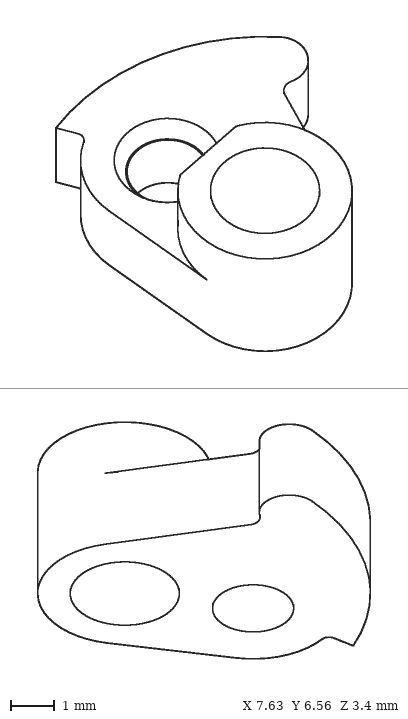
import cadquery as cq
import math

overall_length = 7.63
hub_radius = 2.0
bore_radius = 1.25
plate_height = 2.0
total_height = 3.4
boss_flat_x = -1.755

pivot_x = -3.0
pivot_radius = 0.93
cone_top_radius = 1.23
cone_bottom_radius = 0.96
cone_depth = 0.42

rim_radius = overall_length - hub_radius
nose_radius = 0.69
nose_center_angle = 128.4
edge_slope = 24.3
notch_slope = 23.5
rim_end_angle = 190.3
nose_fillet_radius = 0.3
notch_fillet_radius = 0.2


def polar(radius, angle, center=(0, 0)):
    """Point at a radius and an angle in degrees around a center."""
    a = math.radians(angle)
    return (center[0] + radius * math.cos(a), center[1] + radius * math.sin(a))


def first_hit(start, angle, center, radius):
    """First point where a ray from start at an angle meets a circle."""
    dx, dy = polar(1, angle)
    to_center = (center[0] - start[0], center[1] - start[1])
    along = to_center[0] * dx + to_center[1] * dy
    across = to_center[0] * dy - to_center[1] * dx
    return polar(along - math.sqrt(radius**2 - across**2), angle, start)


def angle_around(center, point):
    """Angle of a point around a center, from 0 to 360 degrees."""
    return math.degrees(math.atan2(point[1] - center[1], point[0] - center[0])) % 360


def make_plate():
    pivot = (pivot_x, 0)
    nose = polar(rim_radius - nose_radius, nose_center_angle)
    nose_start = polar(rim_radius, nose_center_angle)

    tangent_angle = 90 - edge_slope
    edge_start = polar(hub_radius, tangent_angle)
    edge_end = first_hit(edge_start, 180 - edge_slope, nose, nose_radius)
    nose_end_angle = angle_around(nose, edge_end) - 360
    nose_mid = polar(nose_radius, (nose_center_angle + nose_end_angle) / 2, nose)

    rim_end = polar(rim_radius, rim_end_angle)
    rim_mid = polar(rim_radius, (nose_center_angle + rim_end_angle) / 2)
    notch_end = first_hit(rim_end, notch_slope, pivot, hub_radius)
    pivot_mid = polar(hub_radius, (angle_around(pivot, notch_end) + 270) / 2, pivot)

    plate = (
        cq.Workplane("XY")
        .moveTo(*edge_start)
        .lineTo(*edge_end)
        .threePointArc(nose_mid, nose_start)
        .threePointArc(rim_mid, rim_end)
        .lineTo(*notch_end)
        .threePointArc(pivot_mid, (pivot_x, -hub_radius))
        .lineTo(0, -hub_radius)
        .threePointArc(polar(hub_radius, (tangent_angle - 90) / 2), edge_start)
        .close()
        .extrude(plate_height)
    )
    for corner, radius in ((edge_end, nose_fillet_radius), (notch_end, notch_fillet_radius)):
        nearest = cq.selectors.NearestToPointSelector((*corner, plate_height / 2))
        plate = plate.edges(nearest).fillet(radius)
    return plate


def make_boss():
    boss = cq.Workplane("XY").circle(hub_radius).extrude(total_height)
    keep = cq.Workplane("XY").box(
        hub_radius - boss_flat_x, 2 * hub_radius, total_height, centered=(False, True, False)
    )
    return boss.intersect(keep.translate((boss_flat_x, 0, 0)))


def make_pivot_hole():
    hole = cq.Workplane("XY").center(pivot_x, 0).circle(pivot_radius).extrude(plate_height)
    cone = (
        cq.Workplane("XY", origin=(pivot_x, 0, plate_height - cone_depth))
        .circle(cone_bottom_radius)
        .workplane(offset=cone_depth)
        .circle(cone_top_radius)
        .loft(ruled=True)
    )
    return hole.union(cone)


bore = cq.Workplane("XY").circle(bore_radius).extrude(total_height)
result = make_plate().union(make_boss()).cut(bore).cut(make_pivot_hole())